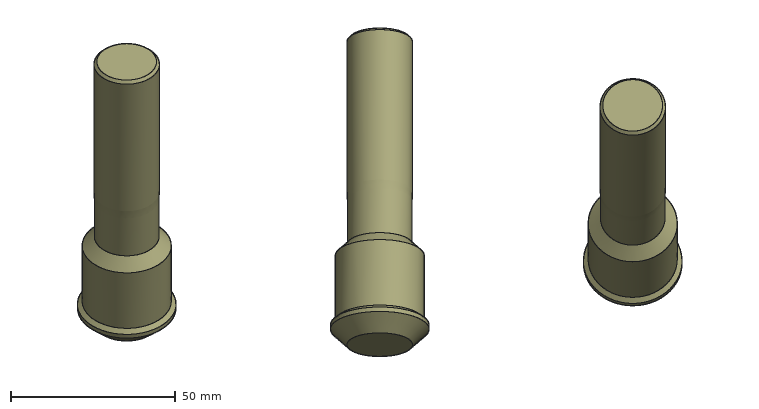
import cadquery as cq

total_length = 100.0

rim_diameter = 30.1
rim_radius = rim_diameter / 2
foot_radius = 10.0
foot_height = rim_radius - foot_radius
rim_top = 6.5

base_radius = 13.6
ring_height = 7.7
base_top = 29.1
neck_radius = 9.9
neck_start = base_top + base_radius - neck_radius
neck_end = 47.2
shaft_radius = 10.0
shaft_start = 50.0
tip_chamfer = 0.9


def revolved(side):
    """Revolve a side outline of (radius, z) points, listed upwards, about the Z axis."""
    bottom_center = (0, side[0][1])
    top_center = (0, side[-1][1])
    outline = [bottom_center, *side, top_center]
    return cq.Workplane("XZ").polyline(outline).close().revolve(360, (0, 0), (0, 1))


def make_foot_ring():
    """Solid disc with a conical foot, a short rim and a beveled top edge."""
    return revolved([
        (foot_radius, 0),
        (rim_radius, foot_height),
        (rim_radius, rim_top),
        (base_radius, ring_height),
    ])


def make_pin():
    """Wide base, conical shoulder, reduced neck and long shaft with a chamfered tip."""
    return revolved([
        (base_radius, ring_height),
        (base_radius, base_top),
        (neck_radius, neck_start),
        (neck_radius, neck_end),
        (shaft_radius, shaft_start),
        (shaft_radius, total_length - tip_chamfer),
        (shaft_radius - tip_chamfer, total_length),
    ])


foot_ring = make_foot_ring()
pin = make_pin()

result = cq.Compound.makeCompound([foot_ring.val(), pin.val()])